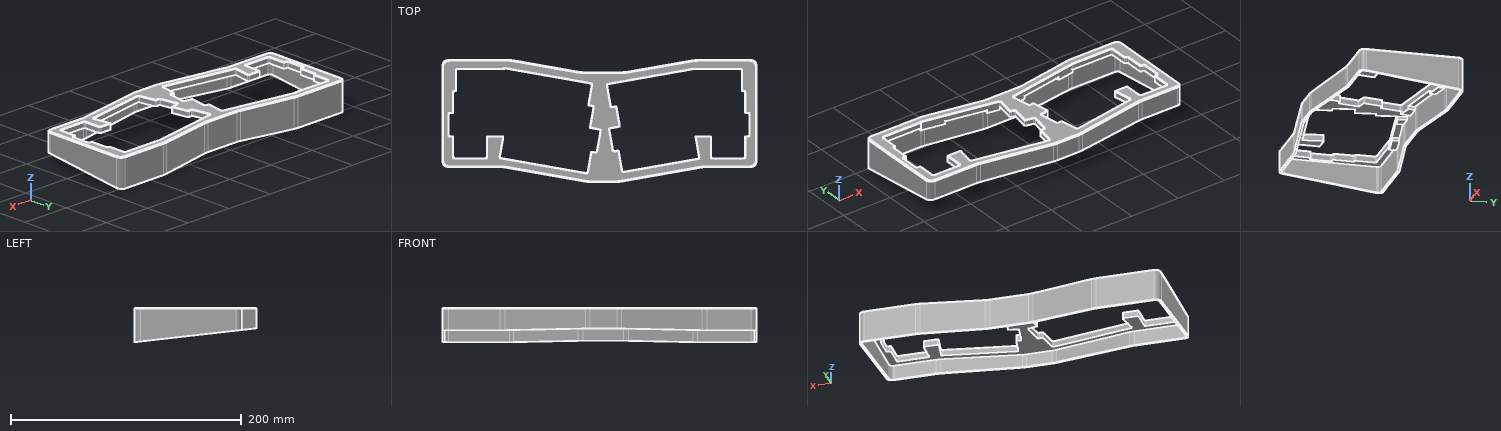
import cadquery as cq
import math

LENGTH = 273.0
DEPTH = 106.2
HEIGHT = 30.0
UNDERSIDE_TILT = 6.5

SPLAY = 10.0
CORNER_RADIUS = 5.2
BEND_RADIUS = 23.8
BACK_BENDS = [-76.5, -16.7, 22.7, 82.7]
FRONT_BENDS = [-84.5, -10.5, 17.0, 91.0]
RIM_CHAMFER = 0.95

WALL = 2.0
PLATE = 6.0
PAD_DROP = 2.7
PAD_DEPTH = 27.3

KEY = 19.05
CLEARANCE = 0.4
OPENING_RADIUS = 1.0
OPENING_CHAMFER = 0.5
STRAIGHT_BACK = 44.5
LEFT_CORNER = (-7.0, 32.0)
RIGHT_CORNER = (7.0, 31.5)

HALF_LENGTH = LENGTH / 2
HALF_DEPTH = DEPTH / 2
SLOPE = math.tan(math.radians(SPLAY))
SIN_SPLAY = math.sin(math.radians(SPLAY))

CLEARANCE_SHIFT = CLEARANCE * (1 / math.cos(math.radians(SPLAY)) - 1) / SLOPE
RIGHT_RISE = STRAIGHT_BACK - RIGHT_CORNER[1]
RIGHT_MEET_X = RIGHT_CORNER[0] + RIGHT_RISE / SLOPE - CLEARANCE_SHIFT
RIGHT_MEET_ROW = RIGHT_RISE / SIN_SPLAY + CLEARANCE_SHIFT

LEFT_INNER = -80.0
OVERLAP_X = 76.5
RIGHT_INNER = RIGHT_MEET_X + CLEARANCE
RIGHT_SPLAYED_END = RIGHT_MEET_ROW - CLEARANCE
LEFT_STRAIGHT = [(-124.0, LEFT_INNER), (-126.5, LEFT_INNER), (-130.5, -OVERLAP_X), (-126.5, -98.3)]
RIGHT_STRAIGHT = [(RIGHT_INNER, 123.1), (RIGHT_INNER, 126.0), (OVERLAP_X, 129.7), (97.5, 126.0)]
LEFT_SPLAYED = [(-4 * KEY, 0), (-4 * KEY, 0.25 * KEY), (-3.5 * KEY, 0.75 * KEY), (-3.5 * KEY, 0.5 * KEY)]
RIGHT_SPLAYED = [
    (0, RIGHT_SPLAYED_END),
    (0.25 * KEY, RIGHT_SPLAYED_END),
    (-0.25 * KEY, 3.5 * KEY),
    (0, 3.5 * KEY),
]

LEFT_PADS = [(-77.0, -53.0), (-12.0, 0)]
RIGHT_PADS = [(0, 14.7), (58.0, 75.0)]


def place(shape, corner, angle):
    """Turn a shape about the vertical axis and move its origin to a corner."""
    return shape.rotate((0, 0, 0), (0, 0, 1), angle).translate((corner[0], corner[1], 0))


def outline_prism():
    """Full-height prism of the outer outline, with rounded corners and bends."""
    back_middle = HALF_DEPTH - SLOPE * (BACK_BENDS[1] - BACK_BENDS[0])
    front_end = -HALF_DEPTH + SLOPE * (FRONT_BENDS[1] - FRONT_BENDS[0])
    back = list(zip(BACK_BENDS, [HALF_DEPTH, back_middle, back_middle, HALF_DEPTH]))
    front = list(zip(FRONT_BENDS, [front_end, -HALF_DEPTH, -HALF_DEPTH, front_end]))
    left_end = [(-HALF_LENGTH, front_end), (-HALF_LENGTH, HALF_DEPTH)]
    right_end = [(HALF_LENGTH, HALF_DEPTH), (HALF_LENGTH, front_end)]
    points = left_end + back + right_end + front[::-1]
    prism = cq.Workplane("XY").polyline(points).close().extrude(HEIGHT)
    prism = prism.edges("|Z").edges("<X or >X").fillet(CORNER_RADIUS)
    inner_x = HALF_LENGTH - 2 * CORNER_RADIUS
    bends = cq.selectors.BoxSelector((-inner_x, -DEPTH, 0), (inner_x, DEPTH, HEIGHT))
    return prism.edges("|Z").edges(bends).fillet(BEND_RADIUS)


def key_cluster(rows, corner, angle):
    """Cutter for key rows stacked toward the front from a corner, turned by an angle."""
    cutter = cq.Workplane("XY")
    for index, (start, end) in enumerate(rows):
        row = cq.Workplane("XY").box(
            end - start + 2 * CLEARANCE, KEY + 2 * CLEARANCE, HEIGHT, centered=(True, True, False)
        )
        cutter = cutter.union(row.translate(((start + end) / 2, -(index + 0.5) * KEY, 0)))
    return place(cutter, corner, angle)


def key_opening(straight_rows, splayed_rows, corner, angle):
    """Cutter for one opening: a straight and a splayed cluster, with rounded corners."""
    straight = key_cluster(straight_rows, (0, STRAIGHT_BACK), 0)
    cutter = straight.union(key_cluster(splayed_rows, corner, angle))
    meeting = cq.selectors.BoxSelector(
        (-RIGHT_MEET_X - 5.5, STRAIGHT_BACK - 2.7, 0), (RIGHT_MEET_X + 5.5, STRAIGHT_BACK + 2.7, HEIGHT)
    )
    upright = cq.selectors.ParallelDirSelector(cq.Vector(0, 0, 1))
    return cutter.edges(upright - meeting).fillet(OPENING_RADIUS)


def back_pads(spans, corner, angle):
    """Pads under the plate along the slanted back edge of an opening."""
    pads = cq.Workplane("XY")
    for start, end in spans:
        pad = cq.Workplane("XY").box(end - start, PAD_DEPTH, PAD_DROP, centered=(True, True, False))
        pads = pads.union(pad.translate(((start + end) / 2, 0, HEIGHT - PLATE - PAD_DROP)))
    return place(pads, corner, angle)


def underside_wedge():
    """Cutter that slopes the underside up toward the front."""
    rise = DEPTH * math.tan(math.radians(UNDERSIDE_TILT))
    profile = [(HALF_DEPTH, 0), (-HALF_DEPTH, 0), (-HALF_DEPTH, rise)]
    return cq.Workplane("YZ").polyline(profile).close().extrude(HALF_LENGTH, both=True)


prism = outline_prism()
inner_outline = prism.faces("<Z").wires().val().offset2D(-WALL)
cavity = cq.Workplane("XY").newObject(inner_outline).toPending().extrude(HEIGHT - PLATE)
case = prism.faces(">Z").edges().chamfer(RIM_CHAMFER).cut(cavity)

pads = back_pads(LEFT_PADS, LEFT_CORNER, -SPLAY).union(back_pads(RIGHT_PADS, RIGHT_CORNER, SPLAY))
case = case.union(pads.intersect(cavity))

case = case.cut(key_opening(LEFT_STRAIGHT, LEFT_SPLAYED, LEFT_CORNER, -SPLAY))
case = case.cut(key_opening(RIGHT_STRAIGHT, RIGHT_SPLAYED, RIGHT_CORNER, SPLAY))
opening_edges = [edge for wire in case.faces(">Z").val().innerWires() for edge in wire.Edges()]
case = case.newObject(opening_edges).chamfer(OPENING_CHAMFER)

result = case.cut(underside_wedge())